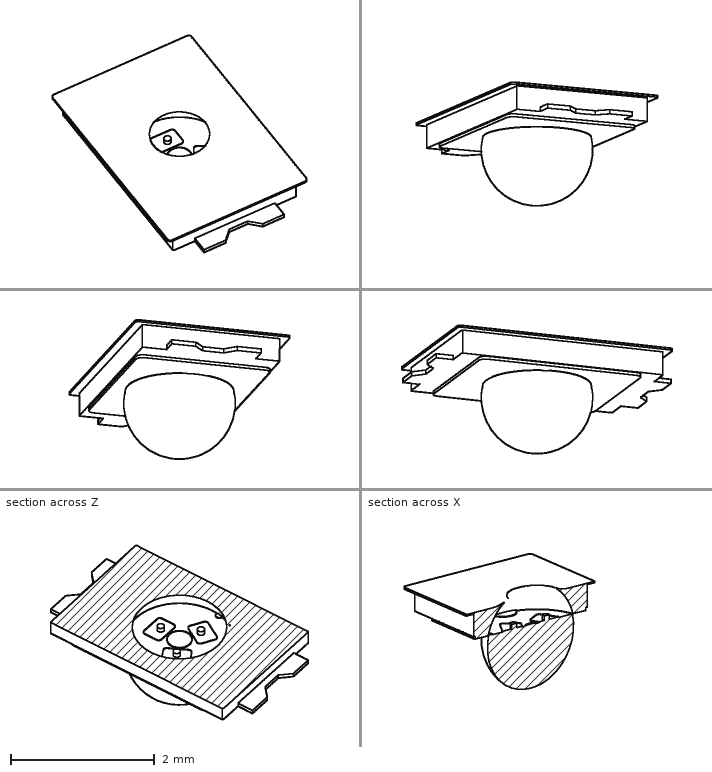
import cadquery as cq
import math

overall_length = 3.5
overall_height = 1.43

plate_length = 3.2
plate_width = 2.25
plate_thickness = 0.028
plate_corner_radius = 0.05

body_length = 3.0
body_width = 2.0
body_height = 0.332
body_corner_radius = 0.05
body_corner_width = 0.028

base_length = 2.4
base_width = 1.95
base_thickness = 0.042
base_corner_radius = 0.1

collar_height = 0.077
collar_diameter = 1.372

ball_radius = 0.777
floor_above_base = 0.007

tab_width = 1.3
tab_thickness = 0.06
notch_depth = 0.15
notch_floor_width = 0.3

pad_thickness = 0.01
centre_disc_diameter = 0.35
pad_inner_radius = 0.2
pad_length = 0.3
pad_width = 0.4
pad_corner_radius = 0.05
pad_angles = (60, 180, 300)
pin_diameter = 0.1
pin_height = 0.077
pin_circle_radius = 0.325
round_pad_diameter = 0.4
round_pad_offset = 0.785
small_pad_diameter = 0.1
small_pad_x = 0.147
small_pad_y = 0.725

plate_bottom = body_height
plate_top = plate_bottom + plate_thickness
collar_top = plate_top + collar_height
base_bottom = -base_thickness
floor_level = base_bottom + floor_above_base
ball_centre = collar_top - overall_height + ball_radius
opening_radius = math.sqrt(ball_radius**2 - (collar_top - ball_centre) ** 2)


def rounded_slab(length, width, thickness, corner_radius, bottom):
    slab = cq.Workplane("XY").workplane(offset=bottom).rect(length, width).extrude(thickness)
    return slab.edges("|Z").fillet(corner_radius)


def cylinder(diameter, height, bottom, x=0.0, y=0.0):
    return cq.Workplane("XY").workplane(offset=bottom).center(x, y).circle(diameter / 2).extrude(height)


def make_body():
    uncut_width = body_width + 2 * (body_corner_radius - body_corner_width)
    rounded = rounded_slab(body_length, uncut_width, body_height, body_corner_radius, 0)
    return rounded.intersect(cq.Workplane("XY").box(body_length, body_width, 2 * body_height))


def make_collar():
    outer = collar_diameter / 2
    inner = opening_radius
    run = outer - inner
    flank_radius = (run**2 + collar_height**2) / (2 * collar_height)
    middle_angle = math.asin(run / flank_radius) / 2
    flank_middle = (
        outer - flank_radius * math.sin(middle_angle),
        plate_top + flank_radius * (1 - math.cos(middle_angle)),
    )
    profile = (
        cq.Workplane("XZ")
        .moveTo(0, plate_bottom)
        .lineTo(outer, plate_bottom)
        .lineTo(outer, plate_top)
        .threePointArc(flank_middle, (inner, collar_top))
        .lineTo(0, collar_top)
        .close()
    )
    return profile.revolve(360, (0, 0, 0), (0, 1, 0))


def make_tabs():
    strip = cq.Workplane("XY").rect(overall_length, tab_width).extrude(tab_thickness)
    end_x = overall_length / 2
    floor_x = end_x - notch_depth
    half_floor = notch_floor_width / 2
    half_mouth = half_floor + notch_depth
    for side in (-1, 1):
        notch = (
            cq.Workplane("XY")
            .polyline([
                (side * floor_x, -half_floor),
                (side * end_x, -half_mouth),
                (side * end_x, half_mouth),
                (side * floor_x, half_floor),
            ])
            .close()
            .extrude(tab_thickness)
        )
        strip = strip.cut(notch)
    return strip


def make_ball():
    return cq.Workplane("XY").sphere(ball_radius).translate((0, 0, ball_centre))


def make_space_above_floor():
    return cylinder(3 * ball_radius, 2 * ball_radius, floor_level)


def make_floor_details():
    details = cylinder(centre_disc_diameter, pad_thickness, floor_level)
    pad = rounded_slab(pad_length, pad_width, pad_thickness, pad_corner_radius, floor_level)
    pad = pad.translate((pad_inner_radius + pad_length / 2, 0, 0))
    pad = pad.union(cylinder(pin_diameter, pin_height, floor_level, pin_circle_radius))
    for angle in pad_angles:
        details = details.union(pad.rotate((0, 0, 0), (0, 0, 1), angle))
    details = details.union(cylinder(round_pad_diameter, pad_thickness, floor_level, round_pad_offset))
    small_pad = cylinder(small_pad_diameter, pad_thickness, floor_level, small_pad_x, small_pad_y)
    return details.union(small_pad)


plate = rounded_slab(plate_length, plate_width, plate_thickness, plate_corner_radius, plate_bottom)
base = rounded_slab(base_length, base_width, base_thickness, base_corner_radius, base_bottom)
ball = make_ball()
space_above_floor = make_space_above_floor()
cavity = ball.intersect(space_above_floor)

result = plate.union(make_body()).union(base).union(make_tabs()).union(make_collar())
result = result.union(ball.cut(space_above_floor))
result = result.cut(cavity)
result = result.union(make_floor_details())